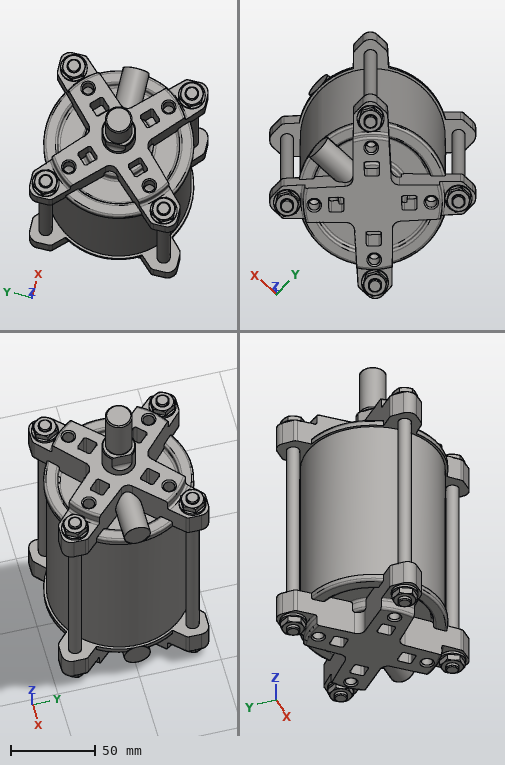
import cadquery as cq
import math


CAP_SIDE = 90.0
CAP_HEIGHT = 22.7
CROTCH_DISTANCE = 16.1
LUG_EDGE = 30.7
LUG_HEIGHT = 15.3
LUG_CORNER_RADIUS = 6.0
LUG_SIDE_RADIUS = 3.0
CROTCH_RADIUS = 5.0
CAST_RADIUS = 1.5
SHOULDER_DIAMETER = 82.5
FLANGE_DIAMETER = 89.1
FLANGE_HEIGHT = 4.3
RECESS_DIAMETER = 72.4
COLLAR_DIAMETER = 41.3
COLLAR_HEIGHT = 7.2
WINDOW_SIDE = 9.0
WINDOW_DISTANCE = 21.7
SCREW_HOLE_DISTANCE = 34.7
SCREW_HOLE_DIAMETER = 6.7
SCREW_MOUTH_DIAMETER = 8.5
SCREW_HOLE_DEPTH = 12.3
DRILL_POINT_ANGLE = 118.0
PORT_DIAMETER = 16.0
PORT_HEIGHT = 7.8

BARREL_DIAMETER = 86.0
BARREL_BOTTOM = 23.5
BARREL_TOP = 133.9

TIE_OFFSET = 36.0
TIE_DIAMETER = 8.0
TIE_CHAMFER = 0.6
TIE_LENGTH = 156.5
WASHER_DIAMETER = 16.0
WASHER_THICKNESS = 1.6
NUT_ACROSS_FLATS = 13.0
NUT_THICKNESS = 4.0
NUT_CHAMFER_ANGLE = 30.0
NUT_SIDES = 6

ROD_DIAMETER = 20.0
ROD_SHOULDER = 173.0
ROD_SHOULDER_CHAMFER = 0.6
NECK_DIAMETER = 13.0
NECK_LENGTH = 1.0
THREAD_DIAMETER = 16.0
THREAD_END = 204.5
THREAD_CHAMFER = 0.8
FLATS_WIDTH = 16.0
FLATS_END = 164.5
FLATS_RUNOUT_RADIUS = 3.7

SAME_DISTANCE = 0.02
ARM_ANGLES = [45, 135, 225, 315]
CORNERS = [(x, y) for x in (-TIE_OFFSET, TIE_OFFSET) for y in (-TIE_OFFSET, TIE_OFFSET)]


def cylinder(diameter, bottom, top):
    """Cylinder on the Z axis between two heights."""
    return cq.Workplane("XY").workplane(offset=bottom).circle(diameter / 2).extrude(top - bottom)


def ring_foot(diameter, floor, outward):
    """Quarter-round fillet ring between a round wall and the floor at its foot."""
    wall = diameter / 2
    side = CAST_RADIUS if outward else -CAST_RADIUS
    bend = CAST_RADIUS * (1 - math.sqrt(0.5))
    return (
        cq.Workplane("XZ")
        .moveTo(wall, floor)
        .lineTo(wall + side, floor)
        .threePointArc((wall + math.copysign(bend, side), floor + bend), (wall, floor + CAST_RADIUS))
        .close()
        .revolve(360, (0, 0), (0, 1))
    )


def turned(points):
    """Solid turned about the Z axis from (radius, height) points."""
    return cq.Workplane("XZ").polyline(points).close().revolve(360, (0, 0), (0, 1))


def on_each_arm(shape):
    """Four copies of a shape built along +X, turned onto the arms."""
    copies = cq.Workplane("XY")
    for angle in ARM_ANGLES:
        copies = copies.add(shape.rotate((0, 0, 0), (0, 0, 1), angle))
    return copies.combine()


def at_distance(radius):
    """Test for edges whose middle lies at this distance from the Z axis."""
    return lambda edge: abs(math.hypot(edge.Center().x, edge.Center().y) - radius) < SAME_DISTANCE


def cross():
    """Cross-shaped block of tapered arms that end in the corners of the cap square."""
    half_side = CAP_SIDE / 2
    quarter = [(CROTCH_DISTANCE, 0), (half_side, LUG_EDGE), (half_side, half_side), (LUG_EDGE, half_side)]
    points = list(quarter)
    for _ in range(3):
        quarter = [(-y, x) for x, y in quarter]
        points += quarter
    block = cq.Workplane("XY").polyline(points).close().extrude(CAP_HEIGHT)
    for distance, radius in [
        (CROTCH_DISTANCE, CROTCH_RADIUS),
        (math.hypot(half_side, LUG_EDGE), LUG_SIDE_RADIUS),
        (math.hypot(half_side, half_side), LUG_CORNER_RADIUS),
    ]:
        block = block.edges("|Z").filter(at_distance(distance)).fillet(radius)
    return block


def shoulder_envelope():
    """Space the cross may fill: low over the lugs, full height inside the shoulder circle."""
    low = cylinder(2 * CAP_SIDE, 0, LUG_HEIGHT)
    high = cylinder(SHOULDER_DIAMETER, LUG_HEIGHT, CAP_HEIGHT).faces(">Z").edges().fillet(CAST_RADIUS)
    return low.union(high).union(ring_foot(SHOULDER_DIAMETER, LUG_HEIGHT, outward=True))


def windows():
    """Square openings through the arms, down to the barrel."""
    window = (
        cq.Workplane("XY")
        .center(WINDOW_DISTANCE, 0)
        .rect(WINDOW_SIDE, WINDOW_SIDE)
        .extrude(CAP_HEIGHT)
        .edges("|Z")
        .fillet(CAST_RADIUS)
    )
    return on_each_arm(window)


def screw_holes():
    """Blind tapped holes with a drill point and a countersunk mouth, one in each arm."""
    radius = SCREW_HOLE_DIAMETER / 2
    mouth = SCREW_MOUTH_DIAMETER / 2
    floor = CAP_HEIGHT - SCREW_HOLE_DEPTH
    tip = floor - radius / math.tan(math.radians(DRILL_POINT_ANGLE / 2))
    sink = CAP_HEIGHT - (mouth - radius)
    profile = [(0, tip), (radius, floor), (radius, sink), (mouth, CAP_HEIGHT), (0, CAP_HEIGHT)]
    return on_each_arm(turned(profile).translate((SCREW_HOLE_DISTANCE, 0, 0)))


def flange():
    """Round flange over the barrel end, with a rounded rim and a recess down to the barrel."""
    ring = cylinder(FLANGE_DIAMETER, 0, FLANGE_HEIGHT).cut(cylinder(RECESS_DIAMETER, 0, FLANGE_HEIGHT))
    return ring.faces(">Z").edges().fillet(CAST_RADIUS)


def collar():
    """Rounded boss around the rod, standing in the flange recess."""
    return cylinder(COLLAR_DIAMETER, 0, COLLAR_HEIGHT).faces(">Z").edges().fillet(CAST_RADIUS)


def port():
    """Round port stub lying along +X between two arms, level with the flange rim."""
    return cq.Workplane("YZ").center(0, PORT_HEIGHT).circle(PORT_DIAMETER / 2).extrude(FLANGE_DIAMETER / 2)


def fastener():
    """Washer and nut for one tie rod, standing on a lug; the nut's outer corners are turned down."""
    nut_bottom = LUG_HEIGHT + WASHER_THICKNESS
    nut_top = nut_bottom + NUT_THICKNESS
    flat = NUT_ACROSS_FLATS / 2
    corner = flat / math.cos(math.pi / NUT_SIDES)
    drop = (corner - flat) * math.tan(math.radians(NUT_CHAMFER_ANGLE))
    profile = [(0, nut_bottom), (corner, nut_bottom), (corner, nut_top - drop), (flat, nut_top), (0, nut_top)]
    hexagon = (
        cq.Workplane("XY")
        .workplane(offset=nut_bottom)
        .polygon(NUT_SIDES, 2 * corner)
        .extrude(NUT_THICKNESS)
    )
    return cylinder(WASHER_DIAMETER, LUG_HEIGHT, nut_bottom).union(hexagon.intersect(turned(profile)))


def end_cap():
    """One complete end cap with its washers and nuts, barrel face at Z = 0."""
    arms = cross().intersect(shoulder_envelope()).cut(windows()).cut(screw_holes())
    cap = arms.union(flange()).union(collar()).union(port())
    cap = cap.union(ring_foot(RECESS_DIAMETER, 0, outward=False))
    cap = cap.union(ring_foot(COLLAR_DIAMETER, 0, outward=True))
    for x, y in CORNERS:
        cap = cap.union(fastener().translate((x, y, 0)))
    return cap


def make_housing():
    """Barrel, both end caps and the tie rods, with the bore that holds the piston rod."""
    barrel = cylinder(BARREL_DIAMETER, BARREL_BOTTOM, BARREL_TOP)
    cap = end_cap()
    top_cap = cap.translate((0, 0, BARREL_TOP))
    bottom_cap = cap.mirror("XY").translate((0, 0, BARREL_BOTTOM))
    tie_rod = cylinder(TIE_DIAMETER, 0, TIE_LENGTH).faces("<Z or >Z").chamfer(TIE_CHAMFER)
    body = barrel.union(top_cap).union(bottom_cap)
    for x, y in CORNERS:
        body = body.union(tie_rod.translate((x, y, 0)))
    return body.cut(cylinder(ROD_DIAMETER, BARREL_TOP, BARREL_TOP + CAP_HEIGHT))


def rod_flat():
    """Material cut off the +X side of the rod, with a round run-out below."""
    flat = FLATS_WIDTH / 2
    radius = FLATS_RUNOUT_RADIUS
    bend = radius * math.sqrt(0.5)
    center = flat + radius
    return (
        cq.Workplane("XZ")
        .moveTo(flat, ROD_SHOULDER)
        .lineTo(flat, FLATS_END)
        .threePointArc((center - bend, FLATS_END - bend), (center, FLATS_END - radius))
        .lineTo(center, ROD_SHOULDER)
        .close()
        .extrude(ROD_DIAMETER / 2, both=True)
    )


def make_piston_rod():
    """Piston rod with two wrench flats, a thread relief neck and a threaded end."""
    neck_end = ROD_SHOULDER + NECK_LENGTH
    rod = cylinder(ROD_DIAMETER, BARREL_TOP, ROD_SHOULDER).faces(">Z").chamfer(ROD_SHOULDER_CHAMFER)
    rod = rod.cut(rod_flat()).cut(rod_flat().mirror("YZ"))
    neck = cylinder(NECK_DIAMETER, ROD_SHOULDER, neck_end)
    thread = cylinder(THREAD_DIAMETER, neck_end, THREAD_END).faces("<Z or >Z").chamfer(THREAD_CHAMFER)
    return rod.union(neck).union(thread)


housing = make_housing()
piston_rod = make_piston_rod()
result = cq.Compound.makeCompound([housing.val(), piston_rod.val()])